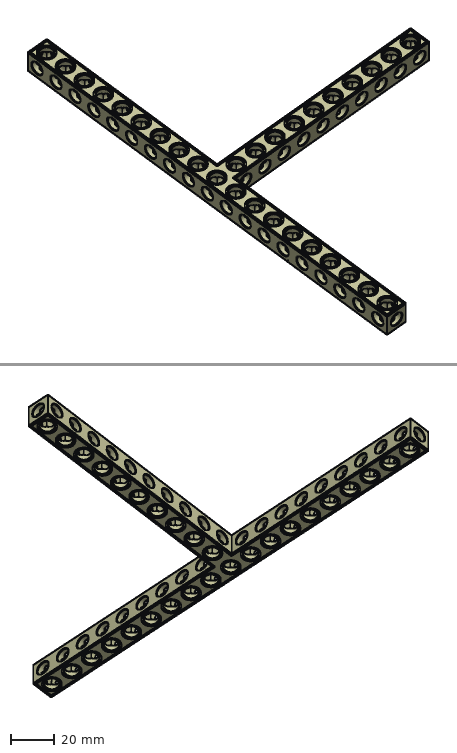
import cadquery as cq

overall_length = 237.5
bar_cells = 19
arm_cells = 11
hole_diameter = 7.0
hole_chamfer = 0.35
edge_chamfer = 0.28
panel_margin = 1.07
panel_depth = 0.2
eyelet_diameter = 9.3

pitch = overall_length / bar_cells
half_width = pitch / 2
bar_end_x = overall_length / 2
arm_end_y = arm_cells * pitch - half_width
arm_middle_y = (arm_end_y - half_width) / 2

bar_stations = [(i - bar_cells // 2) * pitch for i in range(bar_cells)]
arm_stations = [j * pitch for j in range(arm_cells)]
vertical_holes = [(x, 0) for x in bar_stations] + [(0, y) for y in arm_stations[1:]]


def tee(margin, height):
    """T-shaped plate centred on Z = 0, pulled in by a margin on every side."""
    bar = cq.Workplane("XY").box(overall_length - 2 * margin, pitch - 2 * margin, height)
    arm = cq.Workplane("XY").box(pitch - 2 * margin, arm_cells * pitch - 2 * margin, height)
    return bar.union(arm.translate((0, arm_middle_y, 0))).clean()


def chamfered_beam():
    """Solid T with every outer edge chamfered; the two inner corners stay sharp."""
    beam = tee(0, pitch)
    inner_corners = [(side * half_width, half_width, 0) for side in (1, -1)]

    def is_outer(edge):
        return all((edge.Center() - cq.Vector(*corner)).Length > edge_chamfer for corner in inner_corners)

    return beam.edges().filter(is_outer).chamfer(edge_chamfer)


def panel(side):
    """Shallow recess on the top (side 1) or bottom (side -1), leaving a ring round each hole."""
    rings = cq.Workplane("XY").pushPoints(vertical_holes).circle(eyelet_diameter / 2)
    recess = tee(panel_margin, 2 * panel_depth).cut(rings.extrude(panel_depth, both=True))
    return recess.translate((0, 0, side * half_width))


def chamfered_hole(start, end):
    """Cutter for a round through hole between two points, chamfered at both mouths."""
    start = cq.Vector(*start)
    end = cq.Vector(*end)
    axis = (end - start).normalized()
    radius = hole_diameter / 2
    cutter = cq.Solid.makeCylinder(radius, (end - start).Length, start, axis)
    for mouth, inward in [(start, axis), (end, -axis)]:
        cone = cq.Solid.makeCone(radius + hole_chamfer, radius, hole_chamfer, mouth, inward)
        cutter = cutter.fuse(cone)
    return cq.Workplane(cutter)


beam = chamfered_beam()

for side in (1, -1):
    beam = beam.cut(panel(side))

for x, y in vertical_holes:
    beam = beam.cut(chamfered_hole((x, y, -half_width), (x, y, half_width)))

for x in bar_stations:
    far_y = arm_end_y if x == 0 else half_width
    beam = beam.cut(chamfered_hole((x, -half_width, 0), (x, far_y, 0)))

for y in arm_stations:
    far_x = bar_end_x if y == 0 else half_width
    beam = beam.cut(chamfered_hole((-far_x, y, 0), (far_x, y, 0)))

result = beam